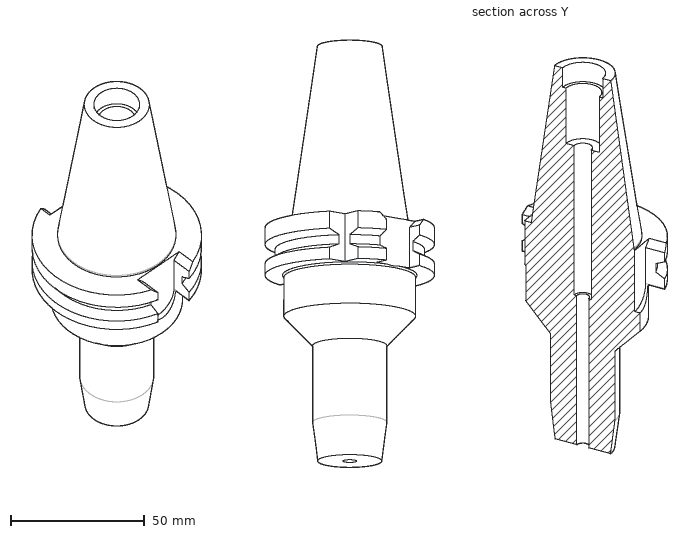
import cadquery as cq

total_height = 158.4
nose_taper_top = 14.7
stem_top = 44.0
body_cone_top = 55.3
body_top = 70.2
flange_bottom = 71.0
flange_top = 89.2
taper_bottom = 90.0

nose_radius = 12.0
stem_radius = 14.0
body_radius = 24.7
relief_radius = 25.2
flange_radius = 31.76
taper_large_radius = 22.2
taper_small_radius = 12.2

groove_radius = 28.0
groove_middle = 79.0
groove_floor_width = 3.5
groove_mouth_width = 7.3

bore_steps = [(8.5, 8.2), (7.1, 31.7), (3.6, 95.0), (2.5, total_height)]

slot_width = 16.2
slot_mouth_chamfer = 2.7
slot_end_center = 71.3
left_slot_floor = 25.0
right_slot_floor = 22.5

notch_x = -18.5
notch_y = 18.2

clearance = 7.9


def make_revolved_body():
    half_floor = groove_floor_width / 2
    half_mouth = groove_mouth_width / 2
    profile = [
        (0, 0),
        (nose_radius, 0),
        (stem_radius, nose_taper_top),
        (stem_radius, stem_top),
        (body_radius, body_cone_top),
        (body_radius, body_top),
        (relief_radius, flange_bottom),
        (flange_radius, flange_bottom),
        (flange_radius, groove_middle - half_mouth),
        (groove_radius, groove_middle - half_floor),
        (groove_radius, groove_middle + half_floor),
        (flange_radius, groove_middle + half_mouth),
        (flange_radius, flange_top),
        (taper_large_radius, flange_top),
        (taper_large_radius, taper_bottom),
        (taper_small_radius, total_height),
        (0, total_height),
    ]
    return cq.Workplane("XZ").polyline(profile).close().revolve(360, (0, 0), (0, 1))


def make_bore_step(radius, depth):
    return cq.Workplane("XY").workplane(offset=total_height - depth).circle(radius).extrude(depth)


def make_drive_slot(floor, side):
    """Round-ended slot, chamfered at its upper mouth; side is +1 for +X and -1 for -X."""
    half_width = slot_width / 2
    half_mouth = half_width + slot_mouth_chamfer
    depth = flange_radius + clearance - floor
    return (
        cq.Workplane("YZ", origin=(side * floor, 0, 0))
        .moveTo(-half_width, slot_end_center)
        .threePointArc((0, slot_end_center - half_width), (half_width, slot_end_center))
        .lineTo(half_width, flange_top - slot_mouth_chamfer)
        .lineTo(half_mouth, flange_top)
        .lineTo(-half_mouth, flange_top)
        .lineTo(-half_width, flange_top - slot_mouth_chamfer)
        .close()
        .extrude(side * depth)
    )


def make_orientation_notch():
    """Square corner cut through the full thickness of the flange at -X, +Y."""
    size = flange_radius
    return (
        cq.Workplane("XY", origin=(notch_x, notch_y, flange_bottom))
        .rect(-size, size, centered=False)
        .extrude(flange_top - flange_bottom)
    )


result = make_revolved_body()
for step_radius, step_depth in bore_steps:
    result = result.cut(make_bore_step(step_radius, step_depth))
result = result.cut(make_drive_slot(left_slot_floor, -1))
result = result.cut(make_drive_slot(right_slot_floor, 1))
result = result.cut(make_orientation_notch())